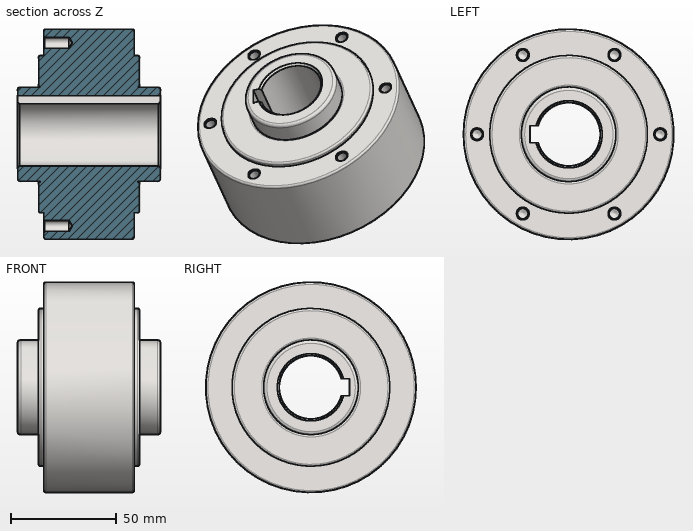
import cadquery as cq
import math

hub_width = 68.0
cover_width = 48.0
body_width = 43.0

body_diameter = 100.0
cover_diameter = 75.0
hub_diameter = 45.0
bore_diameter = 30.0

body_edge_radius = 1.0
cover_edge_radius = 1.0
hub_edge_radius = 1.5
bore_chamfer = 1.0
hub_relief = 1.0

key_width = 8.0
key_reach = 18.3

hole_count = 6
hole_circle_diameter = 87.0
hole_diameter = 5.0
hole_mouth_diameter = 6.0
hole_depth = 12.0
drill_point_angle = 118.0


def disc(diameter, width, edge_radius):
    """Cylinder along X, centred on the origin, with both rims rounded."""
    cylinder = cq.Workplane("YZ", origin=(-width / 2, 0, 0)).circle(diameter / 2).extrude(width)
    return cylinder.faces("<X or >X").edges().fillet(edge_radius)


def turned(profile):
    """Solid of revolution about X from (x, radius) points."""
    return cq.Workplane("XY").polyline(profile).close().revolve(360, (0, 0, 0), (1, 0, 0))


def hub_recess():
    """Ring cut around the hub that rounds the left cover down to the hub surface."""
    face = -cover_width / 2
    hub_radius = hub_diameter / 2
    rim_radius = hub_radius + hub_relief
    bottom = face + hub_relief
    arc_middle_offset = hub_relief * math.sqrt(0.5)
    profile = (
        cq.Workplane("XY")
        .moveTo(face, hub_radius)
        .lineTo(face, rim_radius)
        .threePointArc((bottom - arc_middle_offset, rim_radius - arc_middle_offset), (bottom, hub_radius))
        .close()
    )
    return profile.revolve(360, (0, 0, 0), (1, 0, 0))


def bore():
    """Through bore with a chamfer at each end."""
    end = hub_width / 2
    radius = bore_diameter / 2
    return turned([
        (-end, 0),
        (-end, radius + bore_chamfer),
        (-end + bore_chamfer, radius),
        (end - bore_chamfer, radius),
        (end, radius + bore_chamfer),
        (end, 0),
    ])


def keyway():
    """Straight slot running the full length of the bore."""
    return cq.Workplane("XY").box(hub_width, key_reach, key_width).translate((0, key_reach / 2, 0))


def blind_hole():
    """Drilled hole with a bevelled mouth and a conical bottom, lying on the X axis."""
    face = -body_width / 2
    radius = hole_diameter / 2
    mouth_radius = hole_mouth_diameter / 2
    point_length = radius / math.tan(math.radians(drill_point_angle / 2))
    return turned([
        (face, 0),
        (face, mouth_radius),
        (face + mouth_radius - radius, radius),
        (face + hole_depth, radius),
        (face + hole_depth + point_length, 0),
    ])


result = disc(body_diameter, body_width, body_edge_radius)
result = result.union(disc(cover_diameter, cover_width, cover_edge_radius))
result = result.union(disc(hub_diameter, hub_width, hub_edge_radius))

left_recess = hub_recess()
result = result.cut(left_recess).cut(left_recess.mirror("YZ"))
result = result.cut(bore()).cut(keyway())

first_hole = blind_hole().translate((0, hole_circle_diameter / 2, 0))
for index in range(hole_count):
    angle = index * 360 / hole_count
    result = result.cut(first_hole.rotate((0, 0, 0), (1, 0, 0), angle))